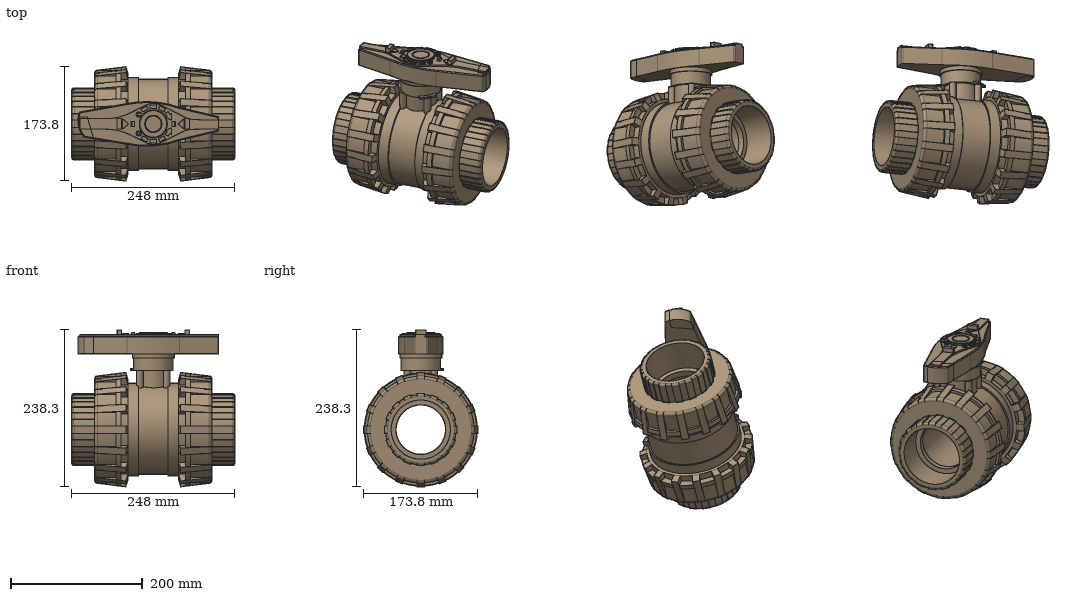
import cadquery as cq

overall_height = 238.3
nut_diameter = 173.8
half_length = 124.0
bore_radius = 37.5
socket_radius = 90.0 / 2
socket_depth = 49.5

housing_radius = 68.2
shoulder_radius = 70.7
shoulder_inner_x = 22.3
shoulder_outer_x = 38.5
spigot_radius = 134.2 / 2
spigot_end_x = 64.5
neck_radius = 24.8
post_radius = 5.2
post_offset = 20.3
collar_radius = 30.3
collar_bottom = 89.8
collar_top = 108.9
tab_width = 27.3
tab_reach = 35.0
tab_thickness = 2.7
tab_angle = 135.0

rib_count = 16
rib_width = 11.2
rib_root_radius = 49.5
barrel_radius = 53.5
barrel_rib_radius = 54.8
barrel_edge_round = 2.7
barrel_rib_round = barrel_rib_radius - barrel_radius + barrel_edge_round
nut_face_x = 89.0
nut_wall = 7.5
nut_panel_radius = 81.0
nut_edge_round = 4.2
nut_band_step = 0.12
nut_band_outer_x = 56.5
nut_band_inner_x = 48.9
nut_lip_radius = 76.0
nut_rib_start_radius = 81.5
nut_rib_tip_radius = nut_diameter / 2
nut_rib_tip_x = 41.7

boss_radius = 32.0
handle_bottom = 115.0
handle_shoulder = 142.0
handle_top = 144.5
handle_edge_chamfer = 1.5
handle_corner_round = 2.5
handle_right_x = 99.5
handle_right_half = 11.0
swell_x = 39.7
swell_left_half = 31.0
swell_right_half = 25.0
swell_peak = (-11.5, 34.0)
left_end_back = (-112.0, 18.0)
left_end_middle = (-114.5, 3.5)
left_end_front = (-105.2, -20.0)

spine_left_x = -111.5
spine_straight_x = 74.5
spine_half = 8.0
spine_right_back_half = 6.2
spine_flare_left = [(-44.6, 12.6), (-17.0, 25.8)]
spine_peak = (0, 31.2)
spine_flare_right = [(17.0, 25.8), (44.6, 12.0)]

mark_height = 1.5
arrow_tip_x = 37.7
arrow_base_x = 46.5
arrow_half = 7.7
bar_inner_x = 48.0
bar_length = 7.0
bar_width = 15.9
bar_top = overall_height - nut_diameter / 2
wedge_inner_x = 28.5
wedge_crest_x = 32.2
wedge_outer_x = 34.0
wedge_width = 7.5
block_ring_radius = 26.3
block_length = 9.7
block_width = 5.2
block_angles = (30, 60, 90, 120)
block_point = [(27.3, 16.0), (27.3, 6.0), (18.8, 10.0)]
ring_centre_x = -22.0
ring_centre_y = 14.5
ring_radius = 4.0
ring_hole_radius = 2.2
ring_slot = 2.5

insert_corner = (-100.2, 10.5)
insert_front = (-90.8, -22.3)
insert_front_outside = (-89.3, -27.3)
insert_outside_x = -124.0

cap_radius = 21.3
cap_height = 3.2
cap_chamfer = 1.0
cap_groove_outer = 26.0 / 2
cap_groove_inner = 24.0 / 2
cap_groove_depth = 0.5


def tube(x_start, x_end, radius):
    """Solid cylinder along the pipe axis."""
    return cq.Workplane("YZ", origin=(x_start, 0, 0)).circle(radius).extrude(x_end - x_start)


def with_ribs(body, rib):
    """Join a ring of copies of one rib to a body, around the pipe axis."""
    ribs = [rib.rotate((0, 0, 0), (1, 0, 0), i * 360 / rib_count).val() for i in range(rib_count)]
    return body.union(cq.Workplane("XY").newObject(ribs))


def rib_from(profile):
    """Give an (x, z) rib profile its width, centred on Y = 0."""
    return profile.extrude(rib_width / 2, both=True)


def make_housing():
    housing = tube(-spigot_end_x, spigot_end_x, spigot_radius)
    housing = housing.union(tube(-shoulder_outer_x, shoulder_outer_x, shoulder_radius))
    waist = tube(-shoulder_inner_x, shoulder_inner_x, shoulder_radius)
    housing = housing.cut(waist.cut(tube(-shoulder_inner_x, shoulder_inner_x, housing_radius)))

    neck = cq.Workplane("XY").circle(neck_radius).extrude(collar_bottom)
    posts = (
        cq.Workplane("XY")
        .rect(2 * post_offset, 2 * post_offset, forConstruction=True)
        .vertices()
        .circle(post_radius)
        .extrude(collar_bottom)
    )
    collar = (
        cq.Workplane("XY", origin=(0, 0, collar_bottom))
        .circle(collar_radius)
        .extrude(collar_top - collar_bottom)
    )
    tab = (
        cq.Workplane("XY", origin=(0, 0, collar_bottom))
        .center(tab_reach / 2, 0)
        .rect(tab_reach, tab_width)
        .extrude(tab_thickness)
        .rotate((0, 0, 0), (0, 0, 1), tab_angle)
    )
    housing = housing.union(neck).union(posts).union(collar).union(tab)
    return housing.cut(tube(-spigot_end_x, spigot_end_x, bore_radius))


def make_connector():
    """Left end connector: a ribbed socket barrel with a flange held by the nut."""
    flange_x = nut_face_x - nut_wall
    barrel = tube(-half_length, -flange_x, barrel_radius).faces("<X").edges().fillet(barrel_edge_round)
    round_x = -half_length + barrel_rib_round
    rib_profile = (
        cq.Workplane("XZ")
        .moveTo(-nut_face_x, rib_root_radius)
        .lineTo(-nut_face_x, barrel_rib_radius)
        .lineTo(round_x, barrel_rib_radius)
        .radiusArc((-half_length, barrel_rib_radius - barrel_rib_round), -barrel_rib_round)
        .lineTo(-half_length, rib_root_radius)
        .close()
    )
    connector = with_ribs(barrel, rib_from(rib_profile))
    connector = connector.union(tube(-flange_x, -spigot_end_x, spigot_radius))
    connector = connector.cut(tube(-half_length, -spigot_end_x, bore_radius))
    return connector.cut(tube(-half_length, -half_length + socket_depth, socket_radius))


def nut_band():
    """Conical ring lying just below the sloping tops of the nut ribs."""
    rib_start_x = nut_face_x - nut_edge_round
    slope = (nut_rib_tip_radius - nut_rib_start_radius) / (rib_start_x - nut_rib_tip_x)
    outer_radius = nut_rib_start_radius + slope * (rib_start_x - nut_band_outer_x) - nut_band_step
    inner_radius = nut_rib_start_radius + slope * (rib_start_x - nut_band_inner_x) - nut_band_step
    return (
        cq.Workplane("XY")
        .polyline([(-nut_band_outer_x, 0), (-nut_band_outer_x, outer_radius),
                   (-nut_band_inner_x, inner_radius), (-nut_band_inner_x, 0)])
        .close()
        .revolve(360, (0, 0, 0), (1, 0, 0))
    )


def make_nut():
    """Left union nut: panels between ribs, a raised band and a lip that meets the housing shoulder."""
    shell = tube(-nut_face_x, -nut_band_inner_x, nut_panel_radius).faces("<X").edges().fillet(nut_edge_round)
    shell = shell.union(nut_band())
    shell = shell.union(tube(-nut_band_inner_x, -shoulder_outer_x, nut_lip_radius))
    rib_profile = (
        cq.Workplane("XZ")
        .moveTo(-nut_face_x, spigot_radius)
        .lineTo(-nut_face_x, nut_rib_start_radius - nut_edge_round)
        .radiusArc((-nut_face_x + nut_edge_round, nut_rib_start_radius), nut_edge_round)
        .lineTo(-nut_rib_tip_x, nut_rib_tip_radius)
        .lineTo(-shoulder_outer_x, nut_lip_radius)
        .lineTo(-shoulder_outer_x, spigot_radius)
        .close()
    )
    nut = with_ribs(shell, rib_from(rib_profile))
    nut = nut.cut(tube(-nut_face_x, -nut_face_x + nut_wall, barrel_radius))
    return nut.cut(tube(-nut_face_x + nut_wall, -shoulder_outer_x, spigot_radius))


def handle_grip():
    """Grip with a rounded skew left end, a swollen middle and a narrow square right end."""
    peak_x, peak_half = swell_peak
    grip = (
        cq.Workplane("XY", origin=(0, 0, handle_bottom))
        .moveTo(handle_right_x, -handle_right_half)
        .lineTo(handle_right_x, handle_right_half)
        .lineTo(swell_x, swell_right_half)
        .threePointArc((peak_x, peak_half), (-swell_x, swell_left_half))
        .lineTo(*left_end_back)
        .threePointArc(left_end_middle, left_end_front)
        .lineTo(-swell_x, -swell_left_half)
        .threePointArc((peak_x, -peak_half), (swell_x, -swell_right_half))
        .close()
        .extrude(handle_shoulder - handle_bottom)
    )
    for corner_x, corner_y in (left_end_back, left_end_front):
        corner = cq.selectors.NearestToPointSelector((corner_x, corner_y, handle_bottom))
        grip = grip.edges("|Z").edges(corner).fillet(handle_corner_round)
    grip = grip.edges("|Z and >X").fillet(handle_corner_round)
    return grip.faces(">Z").edges().chamfer(handle_edge_chamfer)


def spine_side(right_half):
    """+Y half of the raised top plate: a narrow strip that flares round the middle."""
    flare = spine_flare_left + [spine_peak] + spine_flare_right + [(spine_straight_x, right_half)]
    return (
        cq.Workplane("XY", origin=(0, 0, handle_bottom))
        .moveTo(spine_left_x, spine_half)
        .lineTo(-spine_straight_x, spine_half)
        .spline(flare, tangents=[(1, 0), (1, 0)], includeCurrent=True)
        .lineTo(handle_right_x, right_half)
        .lineTo(handle_right_x, 0)
        .lineTo(spine_left_x, 0)
        .close()
        .extrude(handle_top - handle_bottom)
    )


def on_top():
    """Sketch plane on the flat top of the handle."""
    return cq.Workplane("XY", origin=(0, 0, handle_top))


def handle_end_marks():
    """Arrow, finger bar and wedge on the +X half of the top."""
    arrow = (
        on_top()
        .polyline([(arrow_tip_x, 0), (arrow_base_x, arrow_half), (arrow_base_x, -arrow_half)])
        .close()
        .extrude(mark_height)
    )
    bar = (
        on_top()
        .center(bar_inner_x + bar_length / 2, 0)
        .rect(bar_length, bar_width)
        .extrude(bar_top - handle_top)
    )
    crest = handle_top + cap_height
    wedge = (
        cq.Workplane("XZ")
        .polyline([(wedge_inner_x, handle_top), (wedge_outer_x, handle_top), (wedge_crest_x, crest),
                   (wedge_inner_x, crest)])
        .close()
        .extrude(wedge_width / 2, both=True)
    )
    return arrow.union(bar).union(wedge)


def handle_side_marks():
    """Blocks round the cap, a pointed block and a ring on the +Y half of the top."""
    marks = on_top().polyline(block_point).close().extrude(mark_height)
    for angle in block_angles:
        block = (
            on_top()
            .center(block_ring_radius, 0)
            .rect(block_width, block_length)
            .extrude(mark_height)
            .rotate((0, 0, 0), (0, 0, 1), angle)
        )
        marks = marks.union(block)
    ring = (
        on_top()
        .center(ring_centre_x, ring_centre_y)
        .circle(ring_radius)
        .circle(ring_hole_radius)
        .extrude(mark_height)
    )
    return marks.union(ring)


def ring_opening():
    """Slot that opens the +Y ring towards the cap."""
    return (
        on_top()
        .center(ring_centre_x + ring_radius / 2, ring_centre_y)
        .rect(ring_radius, ring_slot)
        .extrude(mark_height)
    )


def make_whole_handle():
    """Handle with its insert still joined to it, cleared where the cap sits."""
    boss = (
        cq.Workplane("XY", origin=(0, 0, collar_top))
        .circle(boss_radius)
        .extrude(handle_bottom - collar_top)
    )
    back_spine = spine_side(spine_right_back_half)
    front_spine = spine_side(spine_half).mirror("XZ")
    end_marks = handle_end_marks()
    side_marks = handle_side_marks()
    handle = handle_grip().union(back_spine).union(front_spine).union(boss)
    handle = handle.union(end_marks).union(end_marks.mirror("YZ"))
    handle = handle.union(side_marks.cut(ring_opening())).union(side_marks.mirror("XZ"))
    return handle.cut(on_top().circle(cap_radius).extrude(cap_height))


def insert_space():
    """Block of space that the handle insert fills, at the left tip of the handle."""
    return (
        cq.Workplane("XY", origin=(0, 0, handle_bottom))
        .moveTo(insert_outside_x, insert_corner[1])
        .lineTo(*insert_corner)
        .lineTo(*insert_front)
        .lineTo(*insert_front_outside)
        .lineTo(insert_outside_x, insert_front_outside[1])
        .close()
        .extrude(handle_top - handle_bottom)
    )


def make_cap():
    """Round cap that sits on the handle, with a shallow ring groove."""
    cap = on_top().circle(cap_radius).extrude(cap_height).faces(">Z").edges().chamfer(cap_chamfer)
    groove = (
        on_top()
        .workplane(offset=cap_height)
        .circle(cap_groove_outer)
        .circle(cap_groove_inner)
        .extrude(-cap_groove_depth)
    )
    return cap.cut(groove)


housing = make_housing()
left_connector = make_connector()
right_connector = left_connector.mirror("YZ")
left_nut = make_nut()
right_nut = left_nut.mirror("YZ")
whole_handle = make_whole_handle()
handle = whole_handle.cut(insert_space())
handle_insert = whole_handle.intersect(insert_space())
cap = make_cap()

result = cq.Compound.makeCompound(
    [
        housing.val(),
        left_connector.val(),
        right_connector.val(),
        left_nut.val(),
        right_nut.val(),
        handle.val(),
        handle_insert.val(),
        cap.val(),
    ]
)